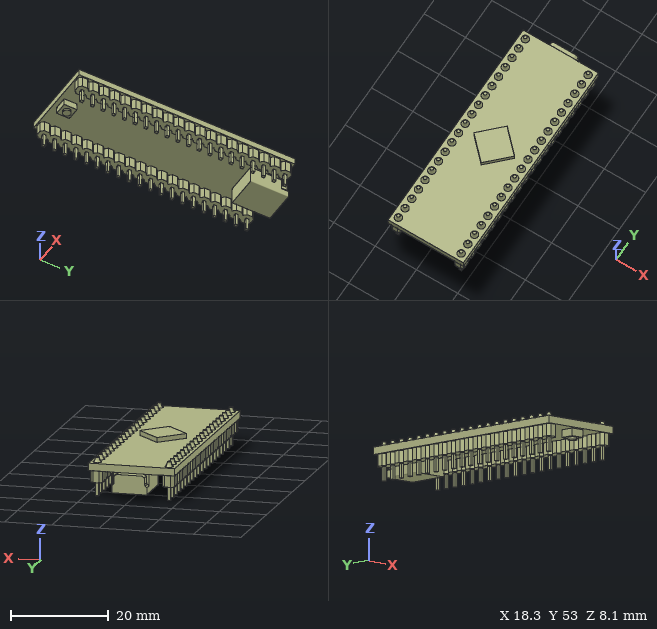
import cadquery as cq


TOTAL_LENGTH = 53.0
TOTAL_HEIGHT = 8.1
BOARD_WIDTH = 18.3
BOARD_THICKNESS = 1.6
USB_OVERHANG = 1.65
BOARD_LENGTH = TOTAL_LENGTH - USB_OVERHANG

CHIP_SIDE = 7.0
CHIP_HEIGHT = 1.0
CHIP_X = 0.2
CHIP_Y = 0.05
CHIP_TURN = 45

PINS_PER_ROW = 20
PIN_ROW_LENGTH = 48.25
PIN_PITCH = PIN_ROW_LENGTH / (PINS_PER_ROW - 1)
ROW_SPACING = 15.2
HEADER_HEIGHT = 2.55
HEADER_CHAMFER = 0.65
PIN_THICKNESS = 0.65
PIN_DROP = TOTAL_HEIGHT - CHIP_HEIGHT - BOARD_THICKNESS

SOLDER_FOOT_RADIUS = 0.85
SOLDER_WAIST_RADIUS = 0.505
SOLDER_TIP_RADIUS = 0.4
SOLDER_HEIGHT = CHIP_HEIGHT

BUTTON_WIDTH = 3.0
BUTTON_LENGTH = 3.0
BUTTON_HEIGHT = 1.6
BUTTON_SETBACK = 1.0
BUTTON_Y = (BUTTON_LENGTH - BOARD_LENGTH) / 2 + BUTTON_SETBACK
CAP_DIAMETER = 1.8
CAP_HEIGHT = 0.5

USB_WIDTH = 7.5
USB_LENGTH = 9.0
USB_HEIGHT = 4.0
USB_CORNER_RADIUS = 0.15
MOUTH_TOP_INSET = 1.15
MOUTH_TOP_DROP = 0.3
MOUTH_WALL_INSET = 0.505
MOUTH_WALL_END = 1.75
MOUTH_BEND_INSET = 0.345
MOUTH_BEND_DROP = 2.05
MOUTH_FLARE_END = 2.4

PIN_SPOTS = [
    (side * ROW_SPACING / 2, (index - (PINS_PER_ROW - 1) / 2) * PIN_PITCH)
    for side in (-1, 1)
    for index in range(PINS_PER_ROW)
]


def make_plate():
    return cq.Workplane("XY").box(BOARD_WIDTH, BOARD_LENGTH, BOARD_THICKNESS, centered=(True, True, False))


def make_chip():
    chip = cq.Workplane("XY").box(CHIP_SIDE, CHIP_SIDE, CHIP_HEIGHT, centered=(True, True, False))
    chip = chip.rotate((0, 0, 0), (0, 0, 1), CHIP_TURN)
    return chip.translate((CHIP_X, CHIP_Y, BOARD_THICKNESS))


def make_solder_joint():
    """A solder joint with a concave flank that narrows from the board up to a flat tip."""
    return (
        cq.Workplane("XZ", origin=(0, 0, BOARD_THICKNESS))
        .lineTo(SOLDER_FOOT_RADIUS, 0)
        .threePointArc((SOLDER_WAIST_RADIUS, SOLDER_HEIGHT / 2), (SOLDER_TIP_RADIUS, SOLDER_HEIGHT))
        .lineTo(0, SOLDER_HEIGHT)
        .close()
        .revolve(360, (0, 0, 0), (0, 1, 0))
    )


def make_header_pin():
    """One octagonal header block with its square pin below and its solder joint above the board."""
    block = (
        cq.Workplane("XY")
        .rect(PIN_PITCH, PIN_PITCH)
        .extrude(-HEADER_HEIGHT)
        .edges("|Z")
        .chamfer(HEADER_CHAMFER)
    )
    pin = cq.Workplane("XY").rect(PIN_THICKNESS, PIN_THICKNESS).extrude(-PIN_DROP)
    return block, pin, make_solder_joint()


def make_button():
    body = cq.Workplane("XY").rect(BUTTON_WIDTH, BUTTON_LENGTH).extrude(-BUTTON_HEIGHT)
    cap = cq.Workplane("XY").circle(CAP_DIAMETER / 2).extrude(-BUTTON_HEIGHT - CAP_HEIGHT)
    return body.union(cap).translate((0, BUTTON_Y, 0))


def make_board():
    """The board with everything soldered to it."""
    pieces = [make_chip().val(), make_button().val()]
    for x, y in PIN_SPOTS:
        for piece in make_header_pin():
            pieces.append(piece.val().translate(cq.Vector(x, y, 0)))
    return make_plate().val().fuse(*pieces)


def make_usb_body():
    """The part of the socket under the board, with its lower long edges rounded."""
    return (
        cq.Workplane("XY")
        .box(USB_WIDTH, USB_LENGTH - USB_OVERHANG, USB_HEIGHT)
        .edges("|Y and <Z")
        .fillet(USB_CORNER_RADIUS)
        .translate((0, (BOARD_LENGTH - USB_LENGTH + USB_OVERHANG) / 2, -USB_HEIGHT / 2))
    )


def make_usb_mouth():
    """The part beyond the board edge: narrow at the top and flaring to the full width below."""
    half_width = USB_WIDTH / 2
    wall = half_width - MOUTH_WALL_INSET
    half = (
        cq.Workplane("XZ", origin=(0, BOARD_LENGTH / 2, 0))
        .lineTo(half_width - MOUTH_TOP_INSET, 0)
        .spline([(wall, -MOUTH_TOP_DROP)], tangents=[(1, 0), (1, 0)], includeCurrent=True)
        .lineTo(wall, -MOUTH_WALL_END)
        .lineTo(half_width - MOUTH_BEND_INSET, -MOUTH_BEND_DROP)
        .lineTo(half_width, -MOUTH_FLARE_END)
        .lineTo(half_width, USB_CORNER_RADIUS - USB_HEIGHT)
        .radiusArc((half_width - USB_CORNER_RADIUS, -USB_HEIGHT), USB_CORNER_RADIUS)
        .lineTo(0, -USB_HEIGHT)
        .close()
        .extrude(-USB_OVERHANG)
    )
    return half.union(half.mirror("YZ"))


def make_usb_socket():
    return make_usb_body().union(make_usb_mouth())


board = make_board()
usb_socket = make_usb_socket()
result = cq.Compound.makeCompound([board, usb_socket.val()])